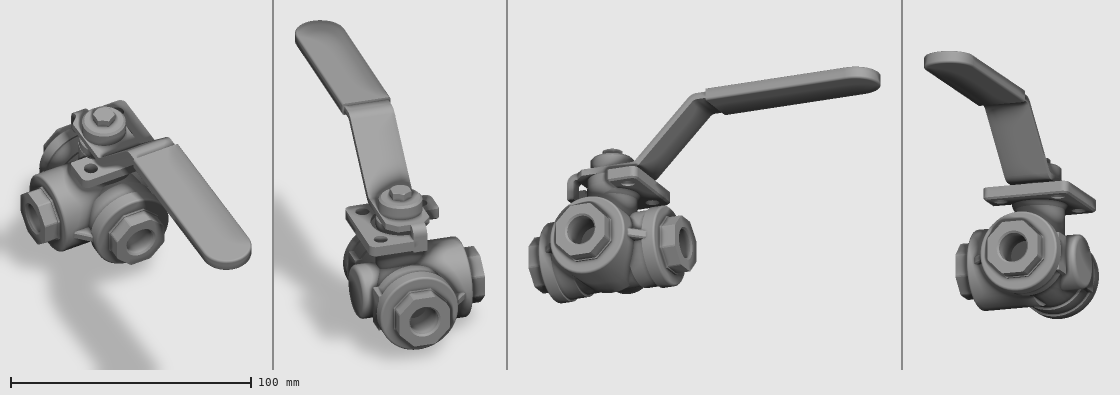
import cadquery as cq
import math

overall_length = 154.6
port_reach = 33.4
flange_radius = 17.0
flange_face = 26.5
flange_back = 20.7
flange_edge_round = 1.0
neck_radius = 16.1
neck_inner_end = 13.1
core_radius = 15.0

octagon_flats = 22.1
octagon_corner_diameter = 23.7
collar_flats = 23.0
collar_length = 1.0

bore_radius = 6.2
bore_mouth_radius = 7.0
bore_depth = 15.5

back_boss_radius = 11.5
back_boss_reach = 19.6
back_boss_round = 1.9

rear_flat_reach = 16.1
rear_flat_half_height = 8.0
rear_flat_inner_end = 12.4

rib_thickness = 3.7
rib_edge_sum = 39.9
rib_edge_chamfer = 0.6

stem_radius = 10.5
stem_collar_radius = 10.4
stem_top = 33.1
stem_top_chamfer = 0.5
stem_root_round = 1.9

pad_half = 18.9
pad_top = 30.5
pad_bottom = 25.4
pad_tongue_start = 5.7
pad_corner_round = 2.8
pad_tongue_round = 1.0
pad_bottom_chamfer = 0.8
pad_hole_offset = 12.7
pad_hole_radius = 3.0
pad_recess_radius = 12.5
pad_recess_floor = 28.8
pad_root_radius = 11.7
pad_root_bottom = 23.3
pad_root_start = 0.5

lever_thickness = 2.8
lever_half_width = 9.6
lever_bottom = stem_top
lever_top = lever_bottom + lever_thickness
lever_end = -13.9
lever_end_chamfer = 4.2
lever_bend_x = 13.9
lever_bend_radius = 3.1
tab_outer_radius = 4.0
tab_width = 6.0
tab_bottom = 24.7

grip_top = 63.4
grip_thickness = 5.3
grip_half_width = 10.5
grip_start = 47.0
grip_end = overall_length - port_reach
grip_edge_round = 1.0
grip_overlap = 1.5
lever_high_top = grip_top - (grip_thickness - lever_thickness) / 2

nut_radius = 9.1
nut_top = 42.0
nut_chamfer = 1.0
bolt_flats = 8.0
bolt_chamfer_height = 0.3
bolt_top = 45.5


def rod(radius, start, end):
    """Cylinder along +X from start to end."""
    return cq.Workplane("YZ").workplane(offset=start).circle(radius).extrude(end - start)


def octagon(flats, start, end):
    """Octagonal bar along +X, flats facing up, down and sideways."""
    half_side_angle = 180 / 8
    corner_diameter = flats / math.cos(math.radians(half_side_angle))
    return (
        cq.Workplane("YZ").workplane(offset=start)
        .transformed(rotate=(0, 0, half_side_angle))
        .polygon(8, corner_diameter).extrude(end - start)
    )


def port_outside(neck):
    """Port along +X: the given neck, a flange, an octagonal collar and a wrench end."""
    flange = rod(flange_radius, flange_back, flange_face).faces(">X").edges().fillet(flange_edge_round)
    collar = octagon(collar_flats, flange_face, flange_face + collar_length)
    wrench_end = octagon(octagon_flats, flange_face, port_reach)
    wrench_end = wrench_end.intersect(rod(octagon_corner_diameter / 2, flange_face, port_reach))
    return neck.union(flange).union(collar).union(wrench_end)


def port_bore():
    """Blind bore along +X with a chamfered mouth."""
    mouth_chamfer = bore_mouth_radius - bore_radius
    bore = rod(bore_radius, port_reach - bore_depth, port_reach)
    mouth = (
        cq.Workplane("YZ").workplane(offset=port_reach).circle(bore_mouth_radius)
        .workplane(offset=-mouth_chamfer).circle(bore_radius).loft()
    )
    return bore.union(mouth)


def turned(shape, angle):
    """Copy of the shape turned about the vertical axis, in degrees."""
    return shape.rotate((0, 0, 0), (0, 0, 1), angle)


def make_rib():
    """Triangular web between the front port and the +X port, chamfered along its slanted edge."""
    reach = rib_edge_sum - neck_radius
    rib = (
        cq.Workplane("XY").workplane(offset=-rib_thickness / 2)
        .polyline([(0, 0), (reach, -neck_radius), (neck_radius, -reach)]).close()
        .extrude(rib_thickness)
    )
    slanted_face = cq.selectors.DirectionMinMaxSelector(cq.Vector(1, -1, 0))
    return rib.faces(slanted_face).edges("#Z").chamfer(rib_edge_chamfer)


def make_rear_flat():
    """Flat-backed block on the rear of the +X neck."""
    length = flange_back - rear_flat_inner_end
    return (
        cq.Workplane("XY")
        .box(length, rear_flat_reach, 2 * rear_flat_half_height, centered=(False, False, True))
        .translate((rear_flat_inner_end, 0, 0))
    )


def make_stem_and_front():
    """Stem tube meeting the front port cylinder with a rounded root."""
    stem = cq.Workplane("XY").circle(stem_radius).extrude(pad_recess_floor)
    collar = cq.Workplane("XY").circle(stem_collar_radius).extrude(stem_top)
    collar = collar.faces(">Z").edges().chamfer(stem_top_chamfer)
    barrel = turned(rod(flange_radius, -flange_back, flange_back), -90)
    joined = barrel.union(stem)
    seam_box = cq.selectors.BoxSelector(
        (-flange_radius, -flange_radius, 0), (flange_radius, flange_radius, pad_bottom), boundingbox=True)
    rounded = joined.edges(seam_box).fillet(stem_root_round)
    front_half = (
        cq.Workplane("XY")
        .box(2 * flange_face, flange_back, 2 * stem_top, centered=(True, False, True))
        .translate((0, -flange_back, 0))
    )
    return rounded.intersect(front_half).union(stem).union(collar)


def pad_outline(bottom, top):
    """Square plate without its -X -Y quarter, save for the front tongue."""
    points = [
        (-pad_half, 0), (pad_tongue_start, 0), (pad_tongue_start, -pad_half),
        (pad_half, -pad_half), (pad_half, pad_half), (-pad_half, pad_half),
    ]
    return cq.Workplane("XY").workplane(offset=bottom).polyline(points).close().extrude(top - bottom)


def make_pad():
    """Mounting pad with three bolt holes, a round recess and a conical root."""
    pad = pad_outline(pad_bottom, pad_top)
    pad = pad.edges("|Z and (>X or (<X and >Y))").fillet(pad_corner_round)
    tongue_corner = cq.selectors.NearestToPointSelector((pad_tongue_start, -pad_half, pad_top))
    pad = pad.edges("|Z").edges(tongue_corner).fillet(pad_tongue_round)
    pad = pad.faces("<Z").edges().chamfer(pad_bottom_chamfer)
    recess = (
        cq.Workplane("XY").workplane(offset=pad_recess_floor)
        .circle(pad_recess_radius).extrude(pad_top - pad_recess_floor)
    )
    open_quarter = (
        cq.Workplane("XZ")
        .polyline([
            (-pad_half, pad_root_bottom), (pad_root_start, pad_root_bottom),
            (pad_tongue_start, pad_bottom), (-pad_half, pad_bottom),
        ]).close().extrude(pad_half)
    )
    root = (
        cq.Workplane("XY").workplane(offset=pad_root_bottom).circle(stem_radius)
        .workplane(offset=pad_bottom - pad_root_bottom).circle(pad_root_radius).loft()
        .cut(open_quarter)
    )
    hole_places = [
        (-pad_hole_offset, pad_hole_offset),
        (pad_hole_offset, pad_hole_offset),
        (pad_hole_offset, -pad_hole_offset),
    ]
    holes = (
        cq.Workplane("XY").workplane(offset=pad_bottom)
        .pushPoints(hole_places).circle(pad_hole_radius).extrude(pad_top - pad_bottom)
    )
    return pad.cut(recess).cut(holes).union(root)


def make_lever():
    """Bent strip: flat over the stem, rising at 45 degrees, then flat inside the grip."""
    high_bend_x = lever_bend_x + lever_high_top - lever_top
    inside_grip = grip_start + grip_overlap
    shift = lever_thickness * math.tan(math.pi / 8)
    high_bottom = lever_high_top - lever_thickness
    lever = (
        cq.Workplane("XZ").workplane(offset=-lever_half_width)
        .polyline([
            (lever_end, lever_top), (lever_bend_x, lever_top),
            (high_bend_x, lever_high_top), (inside_grip, lever_high_top),
            (inside_grip, high_bottom), (high_bend_x + shift, high_bottom),
            (lever_bend_x + shift, lever_bottom), (lever_end, lever_bottom),
        ]).close().extrude(2 * lever_half_width)
    )
    outer_radius = lever_bend_radius + lever_thickness
    bends = [
        (lever_bend_x, lever_top, lever_bend_radius),
        (lever_bend_x + shift, lever_bottom, outer_radius),
        (high_bend_x, lever_high_top, outer_radius),
        (high_bend_x + shift, high_bottom, lever_bend_radius),
    ]
    for x, z, radius in bends:
        bend_edge = cq.selectors.NearestToPointSelector((x, 0, z))
        lever = lever.edges("|Y").edges(bend_edge).fillet(radius)
    return lever.edges("|Z and <X").chamfer(lever_end_chamfer)


def make_tab():
    """Stop tab: the strip curls down beside the stem."""
    inner_radius = tab_outer_radius - lever_thickness
    outer_x = lever_end - tab_outer_radius
    tab = (
        cq.Workplane("XZ")
        .moveTo(lever_end + lever_thickness, lever_top).lineTo(lever_end, lever_top)
        .radiusArc((outer_x, lever_top - tab_outer_radius), -tab_outer_radius)
        .lineTo(outer_x, tab_bottom).lineTo(outer_x + lever_thickness, tab_bottom)
        .lineTo(outer_x + lever_thickness, lever_top - tab_outer_radius)
        .radiusArc((lever_end, lever_bottom), inner_radius)
        .lineTo(lever_end + lever_thickness, lever_bottom).close()
        .extrude(tab_width)
    )
    return tab


def make_grip():
    """Sleeve over the lever with a full round end."""
    round_start = grip_end - grip_half_width
    grip = (
        cq.Workplane("XY").workplane(offset=grip_top - grip_thickness)
        .moveTo(grip_start, -grip_half_width).lineTo(round_start, -grip_half_width)
        .threePointArc((grip_end, 0), (round_start, grip_half_width))
        .lineTo(grip_start, grip_half_width).close().extrude(grip_thickness)
    )
    return grip.edges("(>Z or <Z) and (not <X)").fillet(grip_edge_round)


def make_nut():
    """Round nut on the lever with a hexagonal bolt head on top."""
    nut = (
        cq.Workplane("XY").workplane(offset=lever_bottom)
        .circle(nut_radius).extrude(nut_top - lever_bottom)
        .faces(">Z").edges().chamfer(nut_chamfer)
    )
    corner_radius = bolt_flats / 2 / math.cos(math.pi / 6)
    chamfer_width = corner_radius - bolt_flats / 2
    head_height = bolt_top - nut_top
    seat = cq.Workplane("XY").workplane(offset=nut_top)
    head = seat.polygon(6, 2 * corner_radius).extrude(head_height)
    chamfered_limit = (
        seat.circle(corner_radius).extrude(head_height)
        .faces(">Z").edges().chamfer(bolt_chamfer_height, chamfer_width)
    )
    return nut.union(head.intersect(chamfered_limit))


side_neck = rod(neck_radius, neck_inner_end, flange_back).union(rod(core_radius, 0, neck_inner_end))
front_neck = rod(flange_radius, 0, flange_back)
side_port = port_outside(side_neck)
body = make_stem_and_front().union(turned(port_outside(front_neck), -90))
for angle in (0, 180):
    body = body.union(turned(side_port, angle))
for detail in (make_rib(), make_rear_flat()):
    body = body.union(detail).union(detail.mirror("YZ"))

back_boss = rod(back_boss_radius, 0, back_boss_reach).faces(">X").edges().fillet(back_boss_round)
body = body.union(turned(back_boss, 90))

for angle in (0, 180, -90):
    body = body.cut(turned(port_bore(), angle))

result = body
for piece in (make_pad(), make_lever(), make_tab(), make_grip(), make_nut()):
    result = result.union(piece)